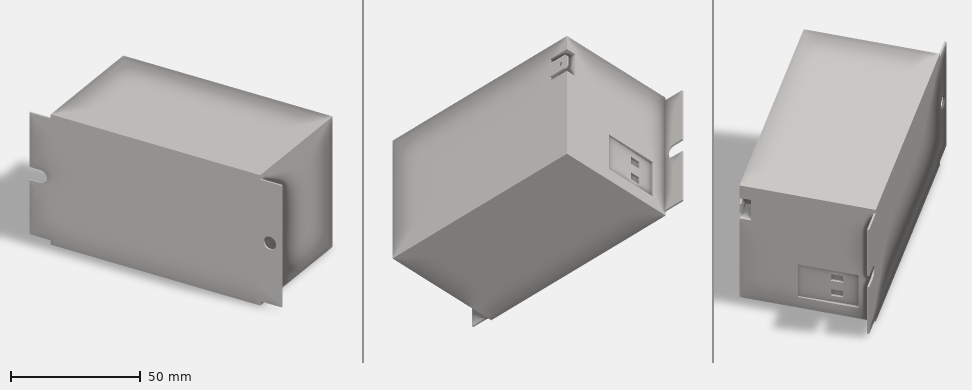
import cadquery as cq

plate_length = 113.5
depth = 54.5
height = 57.5
housing_length = 94.2

plate_thickness = 0.8
ear_height = 53.7
hole_inset = 5.3
hole_diameter = 5.7
slot_length = 8.0

notch_width = 4.5
notch_height = 10.5
notch_length = 9.1
notch_top = 6.5
tab_thickness = 0.8
tab_width = 6.5
tab_chamfer = 1.0
tab_top_gap = 2.0
tab_hole_diameter = 1.8
tab_hole_inset = 3.6

connector_height = 16.8
connector_bottom = 5.5
connector_front = 6.9
connector_width = 24.3
connector_step_width = 1.0
connector_shallow = 0.7
connector_deep = 1.2

opening_front = 13.4
opening_width = 4.8
opening_height = 3.3
opening_bottoms = (8.4, 16.0)
opening_depth = 2.0

housing_left = -housing_length / 2
plate_left = -plate_length / 2


def box(x, y, z, length, width, tall):
    """Box whose lowest corner is at (x, y, z)."""
    return cq.Workplane("XY").box(length, width, tall, centered=False).translate((x, y, z))


def make_body():
    """Housing with ears, pierced by a round hole and an open slot."""
    housing = box(housing_left, 0, 0, housing_length, depth, height)
    ear_bottom = (height - ear_height) / 2
    ears = box(plate_left, 0, ear_bottom, plate_length, plate_thickness, ear_height)
    middle = height / 2
    hole_x = plate_length / 2 - hole_inset
    slot_end_x = plate_left + slot_length - hole_diameter / 2
    cutters = (
        cq.Workplane("XZ", origin=(0, 0, middle))
        .pushPoints([(hole_x, 0), (slot_end_x, 0)])
        .circle(hole_diameter / 2)
        .extrude(-plate_thickness)
    )
    slot_mouth = box(
        plate_left, 0, middle - hole_diameter / 2,
        slot_end_x - plate_left, plate_thickness, hole_diameter,
    )
    return housing.union(ears.cut(cutters).cut(slot_mouth))


def make_notch():
    """Space around the earth tab, open to the left and to the back."""
    bottom = height - notch_top - notch_height
    return box(housing_left, depth - notch_width, bottom, notch_length, notch_width, notch_height)


def make_tab():
    """Flat tab flush with the left side and the back, chamfered at its tip."""
    bottom = height - notch_top - tab_top_gap - tab_width
    tab = box(housing_left, depth - tab_thickness, bottom, notch_length, tab_thickness, tab_width)
    tab = tab.edges("|Y and <X").chamfer(tab_chamfer)
    hole = (
        cq.Workplane("XZ", origin=(housing_left + tab_hole_inset, depth, bottom + tab_width / 2))
        .circle(tab_hole_diameter / 2)
        .extrude(tab_thickness)
    )
    return tab.cut(hole)


def make_connector():
    """Recess with a narrow flat strip at the back and a sloping face in front of it."""
    connector_back = connector_front + connector_width
    step_y = connector_back - connector_step_width
    recess = (
        cq.Workplane("XY", origin=(housing_left, 0, connector_bottom))
        .moveTo(0, connector_front)
        .lineTo(connector_deep, connector_front)
        .lineTo(connector_shallow, step_y)
        .lineTo(connector_shallow, connector_back)
        .lineTo(0, connector_back)
        .close()
        .extrude(connector_height)
    )
    for bottom in opening_bottoms:
        opening = box(housing_left, opening_front, bottom, opening_depth, opening_width, opening_height)
        recess = recess.union(opening)
    return recess


result = make_body().cut(make_notch()).union(make_tab()).cut(make_connector())